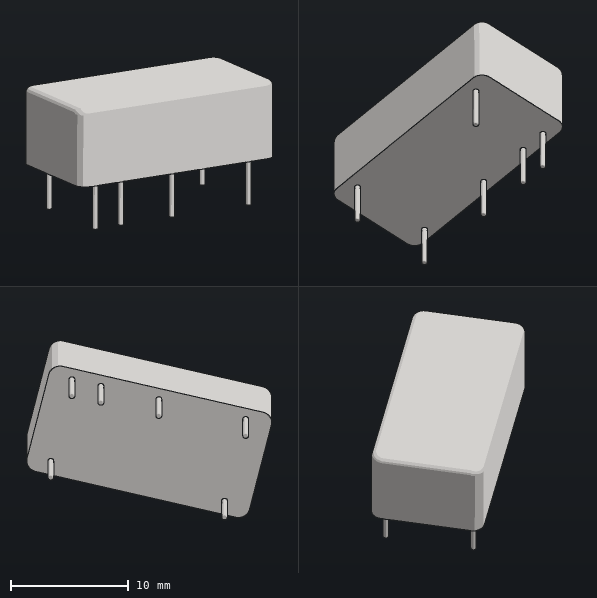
import cadquery as cq

case_width = 9.8
case_length = 19.5
overall_height = 10.9
pin_length = 4.1
case_height = overall_height - pin_length
corner_radius = 1.0
top_radius = 0.5

pin_diameter = 0.5
pin_tip_fillet = 0.1
pin_pitch = 2.54
row_spacing = 3 * pin_pitch
left_row_x = -3.69
right_row_x = left_row_x + row_spacing
last_pin_y = -7.72

left_row_steps = (0, 6)
right_row_steps = (0, 1, 3, 6)


def make_case():
    case = cq.Workplane("XY").box(case_width, case_length, case_height, centered=(True, True, False))
    case = case.edges("|Z").fillet(corner_radius)
    return case.faces(">Z").edges().fillet(top_radius)


def make_pin(x, y):
    pin = cq.Workplane("XY").center(x, y).circle(pin_diameter / 2).extrude(-pin_length)
    return pin.faces("<Z").edges().fillet(pin_tip_fillet)


result = make_case()
for row_x, steps in ((left_row_x, left_row_steps), (right_row_x, right_row_steps)):
    for step in steps:
        result = result.union(make_pin(row_x, last_pin_y + step * pin_pitch))